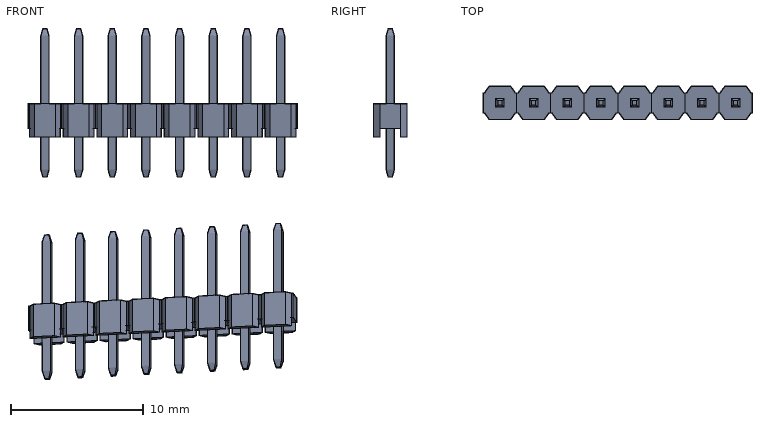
import cadquery as cq

POSITIONS = 8
PITCH = 2.55

BODY_DEPTH = 2.55
BODY_HEIGHT = 2.55
OCTAGON_WIDTH = 2.34
CORNER_X = 0.37
CORNER_Y = 0.5
BRIDGE_DEPTH = BODY_DEPTH - 2 * CORNER_Y
CHANNEL_HEIGHT = 0.65

PIN_WIDTH = 0.63
TIP_WIDTH = 0.33
TIP_LENGTH = 0.55
PIN_LENGTH = 11.2
PIN_BELOW = 3.0


def segment_body():
    """Octagonal block, bridge to the neighbours and underside channel; underside at Z = 0."""
    half_x = OCTAGON_WIDTH / 2
    half_y = BODY_DEPTH / 2
    flat_x = half_x - CORNER_X
    flat_y = half_y - CORNER_Y
    octagon = (
        cq.Workplane("XY")
        .polyline([
            (half_x, -flat_y), (half_x, flat_y), (flat_x, half_y), (-flat_x, half_y),
            (-half_x, flat_y), (-half_x, -flat_y), (-flat_x, -half_y), (flat_x, -half_y),
        ])
        .close()
        .extrude(BODY_HEIGHT)
    )
    bridge = cq.Workplane("XY").rect(PITCH, BRIDGE_DEPTH).extrude(BODY_HEIGHT)
    channel = cq.Workplane("XY").rect(PITCH, BRIDGE_DEPTH).extrude(CHANNEL_HEIGHT)
    return octagon.union(bridge).cut(channel)


def pin():
    """Square pin with a tapered tip at each end."""
    shank_bottom = TIP_LENGTH - PIN_BELOW
    shank_top = PIN_LENGTH - PIN_BELOW - TIP_LENGTH
    shank = (
        cq.Workplane("XY", origin=(0, 0, shank_bottom))
        .rect(PIN_WIDTH, PIN_WIDTH)
        .extrude(shank_top - shank_bottom)
    )
    return shank.union(tip(shank_top, TIP_LENGTH)).union(tip(shank_bottom, -TIP_LENGTH))


def tip(base_z, length):
    """Taper starting at base_z; a negative length points it downwards."""
    return (
        cq.Workplane("XY", origin=(0, 0, base_z))
        .rect(PIN_WIDTH, PIN_WIDTH)
        .workplane(offset=length)
        .rect(TIP_WIDTH, TIP_WIDTH)
        .loft(ruled=True)
    )


def header_segment(index):
    """One position of the row: a segment body in one piece with its pin."""
    center_x = (index - (POSITIONS - 1) / 2) * PITCH
    return segment_body().union(pin()).translate((center_x, 0, 0))


segments = [header_segment(index).val() for index in range(POSITIONS)]

result = cq.Compound.makeCompound(segments)